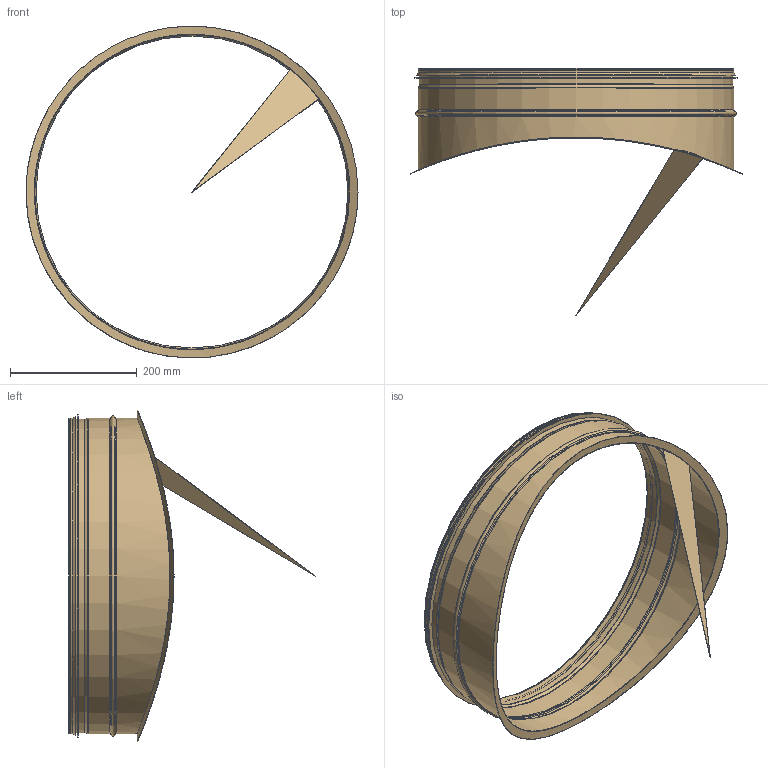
import cadquery as cq
import math

rim_y = 390.09
sheet = 0.5

tube_outer_radius = 498.75 / 2
tube_inner_radius = tube_outer_radius - sheet

groove_floor_radius = 493.95 / 2
groove_front_start = 1.0
groove_front_bend = 1.0
groove_front_angle = 70.0
groove_back_start = 24.5
groove_back_floor_bend = 0.5
groove_back_edge_bend = 3.0
groove_back_angle = 23.0

bead_start = 64.2
bead_radius = tube_outer_radius + 3.8
bead_root_bend = 2.0
bead_crest_bend = 4.0
bead_slope_angle = 50.0

saddle_radius = 625.0
saddle_crest_depth = 108.9
flange_outer_radius = 524.75 / 2

gasket_radius = 495.15 / 2
gasket_head_radius = tube_outer_radius
gasket_start = 3.4
gasket_end = groove_back_start
short_lip_radius = 504.15 / 2
short_lip_start = 6.2
short_lip_tip_start = 10.2
short_lip_end = 10.9
long_lip_radius = 509.15 / 2
long_lip_start = 13.8
long_lip_end = 15.3

plate_middle_angle = 43.8
plate_span_angle = 15.1
plate_thickness = 0.5
plate_overreach = 1.05


def revolve_about_y(profile):
    """Turn a closed (radius, y) profile in the XY plane about the Y axis."""
    return profile.close().revolve(360, (0, 0, 0), (0, 1, 0))


def y_at(depth):
    """Y of a place that lies the given depth behind the rim."""
    return rim_y - depth


crest_y = y_at(saddle_crest_depth)
duct_axis_y = crest_y - saddle_radius


def saddle_y(x):
    """Y of the saddle's inner surface at the given X."""
    return duct_axis_y + math.sqrt(saddle_radius**2 - x**2)


def duct_cylinder(radius):
    """Solid cylinder on the main duct axis, long enough to pass the whole flange."""
    length = 2 * flange_outer_radius + 2 * sheet
    return cq.Workplane("XY", origin=(0, duct_axis_y, -length / 2)).circle(radius).extrude(length)


def ramp(start_radius, end_radius, start_depth, first_bend, second_bend, angle):
    """Points of a sloped wall with a tangent bend at each end, going away from the rim:
    start, end of the first bend, start of the second bend, end."""
    rise = end_radius - start_radius
    direction = math.copysign(1, rise)
    slope = math.radians(angle)
    bend_rise = 1 - math.cos(slope)
    first_end = (
        start_radius + direction * first_bend * bend_rise,
        y_at(start_depth) - first_bend * math.sin(slope),
    )
    second_start_radius = end_radius - direction * second_bend * bend_rise
    second_start = (
        second_start_radius,
        first_end[1] - abs(second_start_radius - first_end[0]) / math.tan(slope),
    )
    end = (end_radius, second_start[1] - second_bend * math.sin(slope))
    return [(start_radius, y_at(start_depth)), first_end, second_start, end]


def mirrored(points):
    """The same points in reverse order, mirrored in the plane through the last one."""
    middle_y = points[-1][1]
    return [(radius, 2 * middle_y - y) for radius, y in reversed(points)]


def filled_tube(offset):
    """Solid of revolution bounded by the tube wall, moved inward by offset."""
    tube_radius = tube_outer_radius - offset
    floor_radius = groove_floor_radius - offset
    groove_in = ramp(
        tube_radius,
        floor_radius,
        groove_front_start,
        groove_front_bend - offset,
        groove_front_bend + offset,
        groove_front_angle,
    )
    groove_out = ramp(
        floor_radius,
        tube_radius,
        groove_back_start,
        groove_back_floor_bend + offset,
        groove_back_edge_bend - offset,
        groove_back_angle,
    )
    bead_rise = ramp(
        tube_radius,
        bead_radius - offset,
        bead_start,
        bead_root_bend + offset,
        bead_crest_bend - offset,
        bead_slope_angle,
    )
    bead_fall = mirrored(bead_rise)
    end_y = saddle_y(flange_outer_radius)
    profile = (
        cq.Workplane("XY")
        .moveTo(0, rim_y)
        .lineTo(tube_radius, rim_y)
        .lineTo(*groove_in[0])
        .tangentArcPoint(groove_in[1], relative=False)
        .lineTo(*groove_in[2])
        .tangentArcPoint(groove_in[3], relative=False)
        .lineTo(*groove_out[0])
        .tangentArcPoint(groove_out[1], relative=False)
        .lineTo(*groove_out[2])
        .tangentArcPoint(groove_out[3], relative=False)
        .lineTo(*bead_rise[0])
        .tangentArcPoint(bead_rise[1], relative=False)
        .lineTo(*bead_rise[2])
        .tangentArcPoint(bead_fall[1], relative=False)
        .lineTo(*bead_fall[2])
        .tangentArcPoint(bead_fall[3], relative=False)
        .lineTo(tube_radius, end_y)
        .lineTo(0, end_y)
    )
    return revolve_about_y(profile)


def make_collar():
    """Tube with its groove and bead, joined to the saddle flange."""
    wall = filled_tube(0).cut(filled_tube(sheet), clean=False)
    tube = wall.cut(duct_cylinder(saddle_radius), clean=False)
    ring_top_y = crest_y + 2 * sheet
    ring_height = ring_top_y - saddle_y(flange_outer_radius)
    ring = (
        cq.Workplane("XZ", origin=(0, ring_top_y, 0))
        .circle(flange_outer_radius)
        .circle(tube_inner_radius)
        .extrude(ring_height)
    )
    skin = duct_cylinder(saddle_radius + sheet).cut(duct_cylinder(saddle_radius))
    return tube.union(ring.intersect(skin, clean=False), clean=False)


def make_gasket():
    """Sealing ring in the groove: a head, a short barbed lip and a long flat lip."""
    profile = cq.Workplane("XY").polyline([
        (groove_floor_radius, y_at(gasket_start)),
        (gasket_head_radius, y_at(gasket_start)),
        (gasket_head_radius, y_at(short_lip_start)),
        (short_lip_radius, y_at(short_lip_tip_start)),
        (short_lip_radius, y_at(short_lip_end)),
        (gasket_radius, y_at(short_lip_end)),
        (gasket_radius, y_at(long_lip_start)),
        (long_lip_radius, y_at(long_lip_start)),
        (long_lip_radius, y_at(long_lip_end)),
        (gasket_radius, y_at(long_lip_end)),
        (gasket_radius, y_at(gasket_end)),
        (groove_floor_radius, y_at(gasket_end)),
    ])
    return revolve_about_y(profile)


def make_plate():
    """Thin triangular plate from the tip at the origin out to the tube bore."""
    corners = []
    for side in (1, -1):
        angle = math.radians(plate_middle_angle + side * plate_span_angle / 2)
        x = tube_inner_radius * math.cos(angle)
        corners.append(cq.Vector(x, saddle_y(x), tube_inner_radius * math.sin(angle)))
    upper, lower = corners
    plane = cq.Plane(origin=(0, 0, 0), xDir=upper, normal=upper.cross(lower))
    outline = [(0, 0)]
    for corner in corners:
        outer_corner = plane.toLocalCoords(corner * plate_overreach)
        outline.append((outer_corner.x, outer_corner.y))
    triangle = cq.Workplane(plane).polyline(outline).close().extrude(plate_thickness)
    bore = cq.Workplane("XZ", origin=(0, rim_y, 0)).circle(tube_inner_radius).extrude(2 * rim_y)
    return triangle.intersect(bore, clean=False)


collar = make_collar()
gasket = make_gasket()
plate = make_plate()
bodies = [body.solids().val() for body in (collar, gasket, plate)]
result = cq.Compound.makeCompound(bodies)